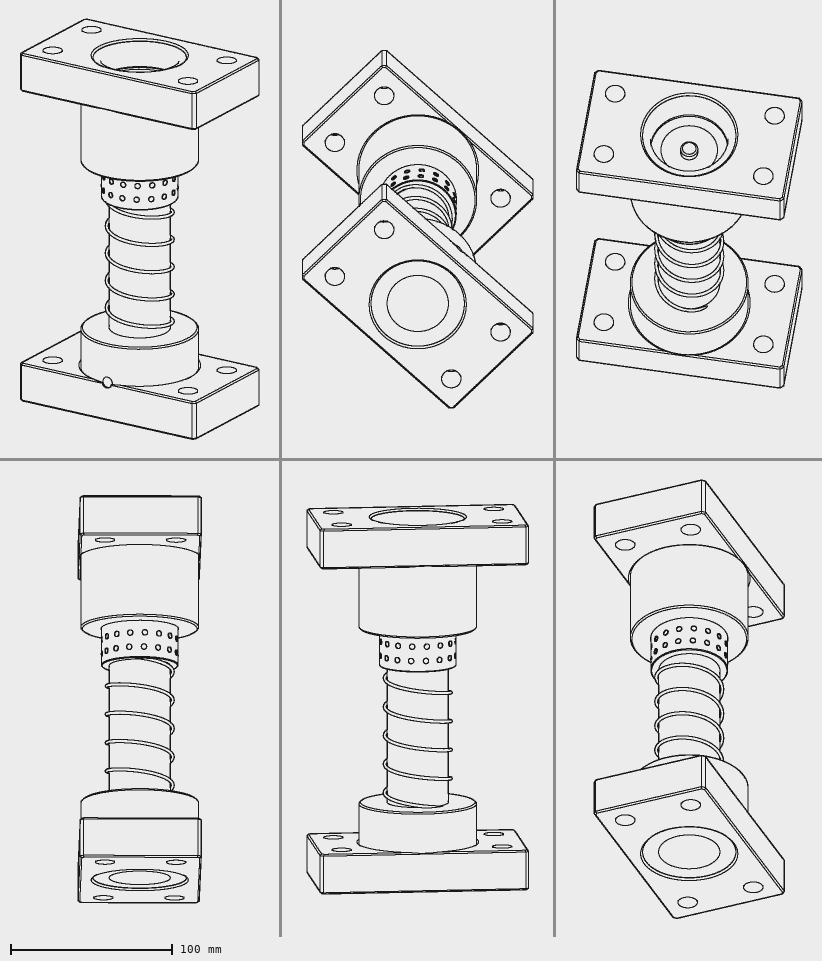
import cadquery as cq
import math

total_height = 229.44
plate_thickness = 25.0
guide_drop = 45.0
base_rise = 25.0
cage_bottom = 136.0
cap_depth = 18.0

upper_plate_bottom = total_height - plate_thickness
base_top = plate_thickness + base_rise
cap_top = total_height - cap_depth

plate_length = 130.0
plate_width = 75.0
plate_angle = 23.57
corner_chamfer = 2.0
plate_edge_chamfer = 1.0
bolt_spacing_long = 100.0
bolt_spacing_short = 44.0
bolt_hole_diameter = 12.0
seat_depth = 15.0
bore_chamfer = 1.2

body_radius = 36.5
neck_radius = 28.9
neck_recess = 1.4
body_edge_chamfer = 1.0
bush_bore_radius = 24.0
bush_mouth_fillet = 3.0
relief_radius = 27.0
relief_height = 1.8

joint_hole_diameter = 6.8
joint_hole_inner_radius = 21.0

pillar_radius = 19.0
cage_radius = 23.8
cage_edge_chamfer = 0.5
ball_diameter = 4.8
ball_center_radius = bush_bore_radius - ball_diameter / 2
window_diameter = 3.4
window_floor_radius = 23.0
balls_per_row = 16
ball_row_heights = [142.9, 151.9]
ball_row_angles = [6.9, 8.4]
wire_diameter = 2.0
coil_radius = 20.4
coil_pitch = 18.0
coil_start = 38.8

cap_thickness = 8.0
dish_radius = 21.6
dish_drop = 0.45
pocket_radius = 17.5
pocket_wall_angle = 40.0
pocket_corner_radius = 14.0
pocket_fillet = 3.5
pocket_depth = (pocket_radius - pocket_corner_radius) * math.tan(math.radians(pocket_wall_angle))
pocket_floor = cap_top - dish_drop - pocket_depth
screw_radius = 5.3
screw_top_radius = 4.2
screw_bevel_height = 1.0
screw_rise = 4.9
screw_length = 20.0


def turned(points):
    """Solid of revolution about Z from (radius, height) points."""
    return cq.Workplane("XZ").polyline(points).close().revolve(360, (0, 0, 0), (0, 1, 0))


def make_plate():
    """Plate with its outer face at Z = 0 and its inner face up."""
    plate = (
        cq.Workplane("XY")
        .rect(plate_length, plate_width)
        .extrude(plate_thickness)
        .edges("|Z").chamfer(corner_chamfer)
        .faces("<Z or >Z").edges().chamfer(plate_edge_chamfer)
    )
    bolt_holes = (
        cq.Workplane("XY")
        .rect(bolt_spacing_long, bolt_spacing_short, forConstruction=True)
        .vertices().circle(bolt_hole_diameter / 2).extrude(plate_thickness)
    )
    seat_floor = plate_thickness - seat_depth
    bore = turned([
        (0, 0),
        (neck_radius + bore_chamfer, 0),
        (neck_radius, bore_chamfer),
        (neck_radius, seat_floor),
        (body_radius, seat_floor),
        (body_radius, plate_thickness - bore_chamfer),
        (body_radius + bore_chamfer, plate_thickness),
        (0, plate_thickness),
    ])
    plate = plate.cut(bolt_holes).cut(bore)
    return plate.rotate((0, 0, 0), (0, 0, 1), plate_angle)


def make_sleeve(length, bore_radius):
    """Stepped sleeve: neck end near Z = 0, wide body up to Z = length."""
    seat_floor = plate_thickness - seat_depth
    return turned([
        (bore_radius, neck_recess),
        (neck_radius, neck_recess),
        (neck_radius, seat_floor),
        (body_radius, seat_floor),
        (body_radius, length - body_edge_chamfer),
        (body_radius - body_edge_chamfer, length),
        (bore_radius, length),
    ])


def turn_over(body):
    """Mirror a body so that its Z = 0 face becomes the top of the set."""
    return body.mirror("XY").translate((0, 0, total_height))


def make_joint_hole():
    """Drill square to the long plate side, centred on the lower joint face."""
    depth = plate_width / 2 - joint_hole_inner_radius
    return (
        cq.Workplane("XZ", origin=(0, -joint_hole_inner_radius, plate_thickness))
        .circle(joint_hole_diameter / 2).extrude(depth)
        .rotate((0, 0, 0), (0, 0, 1), plate_angle)
    )


def make_bush():
    """Upper sleeve with a rounded mouth and a relief groove above the cap."""
    sleeve = turn_over(make_sleeve(plate_thickness + guide_drop, bush_bore_radius))
    mouth = sleeve.faces(">Z").edges("%CIRCLE").edges(cq.selectors.RadiusNthSelector(0))
    relief = (
        cq.Workplane("XY", origin=(0, 0, cap_top))
        .circle(relief_radius).extrude(relief_height)
    )
    return mouth.fillet(bush_mouth_fillet).cut(relief)


def ball_ring(shape, height, first_angle):
    """Copies of a shape spread evenly about Z and lifted to a height."""
    step = 360 / balls_per_row
    return [
        shape.rotate((0, 0, 0), (0, 0, 1), first_angle + index * step).translate((0, 0, height)).val()
        for index in range(balls_per_row)
    ]


def make_cage():
    """Tube around the pillar with rows of balls standing proud of their windows."""
    tube = (
        cq.Workplane("XY", origin=(0, 0, cage_bottom))
        .circle(cage_radius).extrude(cap_top - cap_thickness - cage_bottom)
        .faces("<Z").edges().chamfer(cage_edge_chamfer)
    )
    pillar_bore = cq.Workplane("XY").circle(pillar_radius).extrude(total_height)
    tube = tube.cut(pillar_bore)
    window = (
        cq.Workplane("YZ", origin=(window_floor_radius, 0, 0))
        .circle(window_diameter / 2).extrude(ball_diameter)
    )
    ball = cq.Workplane("XY", origin=(ball_center_radius, 0, 0)).sphere(ball_diameter / 2)
    cage = tube.val()
    for height, first_angle in zip(ball_row_heights, ball_row_angles):
        cage = cage.cut(*ball_ring(window, height, first_angle))
        cage = cage.fuse(*ball_ring(ball, height, first_angle))
    return cq.Workplane(cage.Solids()[0])


def make_spring():
    """Left-handed coil, ground flat on the base and under the cage."""
    height = cage_bottom + coil_pitch / 2 - coil_start
    path = cq.Wire.makeHelix(coil_pitch, height, coil_radius, lefthand=True)
    coil = (
        cq.Workplane("XZ").center(coil_radius, 0).circle(wire_diameter / 2)
        .sweep(cq.Workplane(path), isFrenet=True)
        .translate((0, 0, coil_start))
    )
    span = (
        cq.Workplane("XY", origin=(0, 0, base_top))
        .circle(coil_radius + wire_diameter).extrude(cage_bottom - base_top)
    )
    return coil.intersect(span)


def make_cap():
    """Dished cap closing the bush bore above pillar and cage."""
    cap_bottom = cap_top - cap_thickness
    cap = turned([
        (0, cap_bottom),
        (bush_bore_radius, cap_bottom),
        (bush_bore_radius, cap_top),
        (dish_radius, cap_top),
        (pocket_radius, cap_top - dish_drop),
        (pocket_corner_radius, pocket_floor),
        (0, pocket_floor),
    ])
    pocket_edge = cq.selectors.BoxSelector(
        (-pocket_corner_radius - 1, -pocket_corner_radius - 1, pocket_floor - 0.1),
        (pocket_corner_radius + 1, pocket_corner_radius + 1, pocket_floor + 0.1),
        boundingbox=True,
    )
    return cap.edges(pocket_edge).fillet(pocket_fillet)


def make_screw():
    """Central screw through the cap into the pillar."""
    top = pocket_floor + screw_rise
    return turned([
        (0, top - screw_length),
        (screw_radius, top - screw_length),
        (screw_radius, top - screw_bevel_height),
        (screw_top_radius, top),
        (0, top),
    ])


def make_pillar():
    """Round pillar from the base neck up to the underside of the cap."""
    pillar_top = cap_top - cap_thickness
    return (
        cq.Workplane("XY", origin=(0, 0, neck_recess))
        .circle(pillar_radius).extrude(pillar_top - neck_recess)
    )


joint_hole = make_joint_hole()
screw = make_screw()

lower_plate = make_plate().cut(joint_hole)
upper_plate = turn_over(make_plate())
base = make_sleeve(base_top, pillar_radius).cut(joint_hole)
bush = make_bush()
pillar = make_pillar().cut(screw)
cage = make_cage()
spring = make_spring()
cap = make_cap().cut(screw)

bodies = [lower_plate, upper_plate, base, bush, pillar, cage, spring, cap, screw]
result = cq.Compound.makeCompound([body.val() for body in bodies])